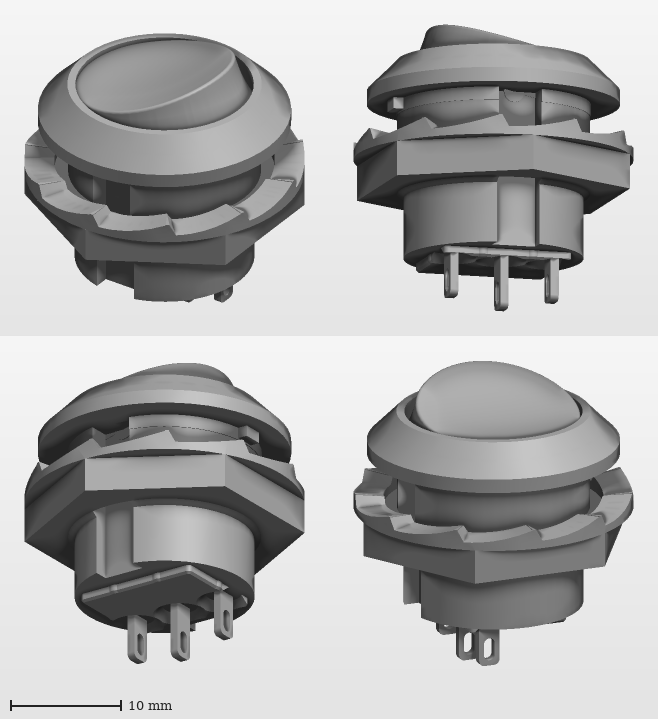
import cadquery as cq
import math


bezel_diameter = 23.0
bezel_top_diameter = 17.65
bezel_height = 3.97
bezel_rim_height = 1.29
well_diameter = 16.2

collar_diameter = 17.7
collar_bottom_z = -1.18
thread_diameter = 17.55
body_diameter = 16.35
body_chamfer_top_z = -8.3
body_chamfer_bottom_z = -8.7
body_bottom_z = -14.2
keyway_width = 4.05
keyway_floor_y = 6.49

tab_reach = 9.75
tab_width = 2.0
tab_height = 1.02

nut_across_corners = 25.5
nut_top_z = -5.12
nut_bottom_z = body_chamfer_top_z
lock_diameter = 25.45
lock_bore_diameter = 20.0
tooth_count = 11
tooth_phase = -87.2
tip_z_outer = -3.28
tip_z_inner = -3.65
root_z_outer = -4.4
root_z_inner = -4.33
tip_width = 0.45
flank_run = 0.6
tooth_cut_overrun = 1.05

rocker_tilt = 13.5
rocker_rim_radius = 7.48
rocker_rim_height = 5.38
rocker_waist_radius = 7.9
rocker_waist_height = 2.18
rocker_base_radius = 8.67
rocker_dish_radius = 36.9
rocker_dish_height = 4.57
rocker_edge_radius = 0.25
pivot_diameter = 1.9
pivot_proud = 0.05

base_length = 12.08
base_width = 9.55
base_bottom_z = -15.0
base_corner_radius = 0.42
base_edge_chamfer = 0.2
base_rib_radius = 0.9
base_rib_proud = 0.1
base_rib_x = 2.36
funnel_mouth_diameter = 4.9
funnel_floor_diameter = 3.2

terminal_thickness = 0.75
terminal_width = 2.0
terminal_y = 2.52
terminal_spacing = 4.75
terminal_corner_radius = 0.53
side_terminal_bottom_z = -18.5
center_terminal_bottom_z = -19.43
eyelet_width = 1.05
eyelet_length = 2.1
eyelet_end_gap = 0.5


def cylinder(diameter, bottom_z, top_z):
    return cq.Workplane("XY").workplane(offset=bottom_z).circle(diameter / 2).extrude(top_z - bottom_z)


def make_housing():
    """Bezel, collar, thread and body turned as one profile, with the well and keyways cut."""
    profile = [
        (0, body_bottom_z),
        (body_diameter / 2, body_bottom_z),
        (body_diameter / 2, body_chamfer_bottom_z),
        (thread_diameter / 2, body_chamfer_top_z),
        (thread_diameter / 2, collar_bottom_z),
        (collar_diameter / 2, collar_bottom_z),
        (collar_diameter / 2, 0),
        (bezel_diameter / 2, 0),
        (bezel_diameter / 2, bezel_rim_height),
        (bezel_top_diameter / 2, bezel_height),
        (0, bezel_height),
    ]
    housing = cq.Workplane("XZ").polyline(profile).close().revolve(360, (0, 0), (0, 1))
    housing = housing.cut(cylinder(well_diameter, 0, bezel_height))
    keyway_depth = collar_diameter / 2 - keyway_floor_y
    for side in (-1, 1):
        keyway = (
            cq.Workplane("XY")
            .center(0, side * (keyway_floor_y + keyway_depth / 2))
            .rect(keyway_width, keyway_depth)
            .extrude(body_bottom_z)
        )
        housing = housing.cut(keyway)
    tab_start = body_diameter / 2
    tab = (
        cq.Workplane("XY")
        .center((tab_start + tab_reach) / 2, 0)
        .rect(tab_reach - tab_start, tab_width)
        .extrude(-tab_height)
    )
    return housing.union(tab)


def tooth_gap_section(radius):
    """Sawtooth gap outline on the plane square to a radius: steep flank, then a curved ramp."""
    inner_radius = lock_bore_diameter / 2
    outer_radius = lock_diameter / 2
    share = (radius - inner_radius) / (outer_radius - inner_radius)
    tip_z = tip_z_inner + share * (tip_z_outer - tip_z_inner)
    root_z = root_z_inner + share * (root_z_outer - root_z_inner)
    half_gap = radius * math.tan(math.pi / tooth_count) - share * tip_width / 2
    root_start = -half_gap + flank_run * radius / outer_radius
    ramp_middle = ((root_start + half_gap) / 2, root_z + (tip_z - root_z) / 4)
    clear_z = tip_z_outer + tooth_cut_overrun
    plane = cq.Plane(origin=(radius, 0, 0), xDir=(0, 1, 0), normal=(1, 0, 0))
    return (
        cq.Workplane(plane)
        .moveTo(-half_gap, clear_z)
        .lineTo(-half_gap, tip_z)
        .lineTo(root_start, root_z)
        .threePointArc(ramp_middle, (half_gap, tip_z))
        .lineTo(half_gap, clear_z)
        .close()
        .val()
    )


def make_nut():
    """Hexagon with corners on the Y axis, topped by the ring of lock teeth."""
    hexagon = (
        cq.Workplane("XY")
        .workplane(offset=nut_bottom_z)
        .transformed(rotate=(0, 0, 90))
        .polygon(6, nut_across_corners)
        .extrude(nut_top_z - nut_bottom_z)
        .cut(cylinder(thread_diameter, nut_bottom_z, nut_top_z))
    )
    ring_profile = [
        (lock_bore_diameter / 2, nut_top_z),
        (lock_diameter / 2, nut_top_z),
        (lock_diameter / 2, tip_z_outer),
        (lock_bore_diameter / 2, tip_z_inner),
    ]
    ring = cq.Workplane("XZ").polyline(ring_profile).close().revolve(360, (0, 0), (0, 1))
    sections = [
        tooth_gap_section(lock_bore_diameter / 2 - tooth_cut_overrun),
        tooth_gap_section(lock_diameter / 2 + tooth_cut_overrun),
    ]
    gap = cq.Workplane(cq.Solid.makeLoft(sections, True))
    pitch = 360 / tooth_count
    for index in range(tooth_count):
        ring = ring.cut(gap.rotate((0, 0, 0), (0, 0, 1), tooth_phase + (index + 0.5) * pitch))
    return hexagon.union(ring)


def make_rocker():
    """Flared button with a dished top, tilted about the pivot and trimmed to the well."""
    flare = (
        cq.Workplane("XZ")
        .moveTo(0, rocker_rim_height)
        .lineTo(rocker_rim_radius, rocker_rim_height)
        .threePointArc((rocker_waist_radius, rocker_waist_height), (rocker_base_radius, 0))
        .lineTo(0, 0)
        .close()
        .revolve(360, (0, 0), (0, 1))
    )
    dish = (
        cq.Workplane("XZ")
        .center(0, rocker_dish_height + rocker_dish_radius)
        .circle(rocker_dish_radius)
        .extrude(rocker_base_radius, both=True)
    )
    button = flare.cut(dish).faces(">Z").edges().fillet(rocker_edge_radius)
    button = button.rotate((0, 0, 0), (0, 1, 0), -rocker_tilt)
    above_flange = cylinder(well_diameter, 0, 2 * rocker_rim_height)
    below_flange = cylinder(well_diameter, -rocker_rim_height, 0).intersect(
        cq.Workplane("XY").box(well_diameter, 2 * (keyway_floor_y + pivot_proud), 4 * rocker_rim_height)
    )
    pivot = (
        cq.Workplane("XZ").circle(pivot_diameter / 2).extrude(keyway_floor_y + 2 * pivot_proud, both=True)
    )
    return button.intersect(above_flange.union(below_flange)).union(pivot)


def make_base():
    """Rounded plate with shallow rounded ribs on its sides and a funnel around each terminal."""
    height = body_bottom_z - base_bottom_z
    base = (
        cq.Workplane("XY")
        .workplane(offset=base_bottom_z)
        .rect(base_length, base_width)
        .extrude(height)
        .edges("|Z")
        .fillet(base_corner_radius)
    )
    inset = base_rib_radius - base_rib_proud
    rib_y = base_width / 2 - inset
    end_rib_x = base_length / 2 - inset
    rib_centers = [(x, y) for x in (-base_rib_x, base_rib_x) for y in (-rib_y, rib_y)]
    rib_centers += [(-end_rib_x, 0), (end_rib_x, 0)]
    ribs = (
        cq.Workplane("XY")
        .workplane(offset=base_bottom_z)
        .pushPoints(rib_centers)
        .circle(base_rib_radius)
        .extrude(height)
    )
    base = base.union(ribs).faces("<Z").edges().chamfer(base_edge_chamfer)
    funnel = cq.Workplane(
        cq.Solid.makeCone(funnel_mouth_diameter / 2, funnel_floor_diameter / 2, height)
    )
    for x in (-terminal_spacing, 0, terminal_spacing):
        base = base.cut(funnel.translate((x, terminal_y, base_bottom_z)))
    return base


def make_terminal(x, bottom_z):
    """Flat blade with rounded lower corners and an eyelet slot near its end."""
    length = body_bottom_z - bottom_z
    blade = (
        cq.Workplane("XY")
        .box(terminal_thickness, terminal_width, length, centered=(True, True, False))
        .edges("|X and <Z")
        .fillet(terminal_corner_radius)
    )
    eyelet = (
        cq.Workplane("YZ")
        .center(0, eyelet_end_gap + eyelet_length / 2)
        .slot2D(eyelet_length, eyelet_width, 90)
        .extrude(terminal_thickness, both=True)
    )
    return blade.cut(eyelet).translate((x, terminal_y, bottom_z))


result = make_housing().union(make_nut()).union(make_rocker()).union(make_base())
result = result.union(make_terminal(0, center_terminal_bottom_z))
for side_x in (-terminal_spacing, terminal_spacing):
    result = result.union(make_terminal(side_x, side_terminal_bottom_z))